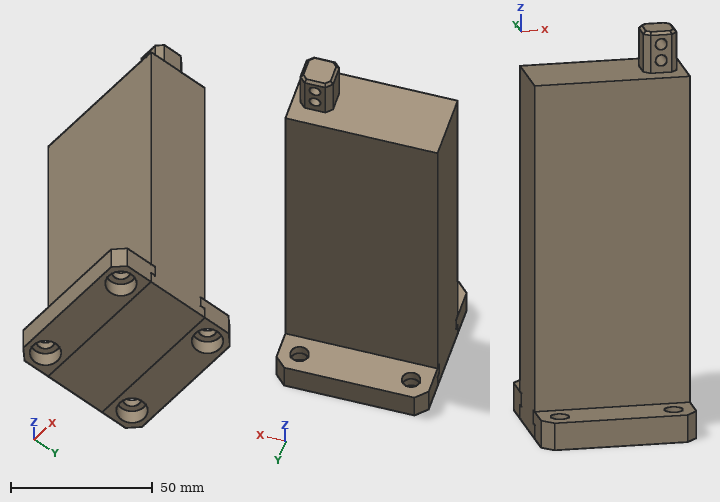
import cadquery as cq

total_height = 145.0
width = 56.0
base_depth = 55.0

housing_depth = 25.0
housing_height = 130.0

flange_height = 10.0
flange_corner_chamfer = 4.0
lip_depth = 2.0
lip_height = 5.0
mount_hole_diameter = 6.5
mount_hole_depth = 3.5
counterbore_diameter = 11.0
mount_hole_spacing_x = 41.0
mount_hole_spacing_y = 40.0

post_side = 12.0
post_center_x = 19.0
post_corner_chamfer = 2.2
post_top_chamfer = 1.0
post_hole_diameter = 4.0
post_hole_spacing = 6.0
lower_post_hole_height = 4.5

post_height = total_height - housing_height
flange_outer_y = base_depth / 2
flange_inner_y = housing_depth / 2
lip_inner_y = flange_inner_y - lip_depth
lip_bottom = flange_height - lip_height
counterbore_depth = flange_height - mount_hole_depth


def make_post():
    """Square post with chamfered edges and two cross holes along Y."""
    post = (
        cq.Workplane("XY")
        .box(post_side, post_side, post_height, centered=(True, True, False))
        .edges("|Z").chamfer(post_corner_chamfer)
        .faces(">Z").edges().chamfer(post_top_chamfer)
    )
    hole_heights = [lower_post_hole_height, lower_post_hole_height + post_hole_spacing]
    holes = (
        cq.Workplane("XZ")
        .pushPoints([(0, height) for height in hole_heights])
        .circle(post_hole_diameter / 2)
        .extrude(post_side / 2, both=True)
    )
    return post.cut(holes).translate((post_center_x, 0, housing_height))


def make_housing():
    """Upright block with a groove along each long side and the post on top."""
    block = cq.Workplane("XY").box(width, housing_depth, housing_height, centered=(True, True, False))
    for side in (-1, 1):
        groove = (
            cq.Workplane("XY")
            .box(width, lip_depth, lip_height, centered=(True, True, False))
            .translate((0, side * (flange_inner_y - lip_depth / 2), lip_bottom))
        )
        block = block.cut(groove)
    return block.union(make_post())


def round_holes(centers, diameter, depth):
    """Cylinders rising from the underside of the flange, to be cut away."""
    return cq.Workplane("XY").pushPoints(centers).circle(diameter / 2).extrude(depth)


def make_flange():
    """Flange on the +Y side, with its lip, chamfered outer corners and two holes counterbored from below."""
    profile = [
        (flange_inner_y, 0),
        (flange_outer_y, 0),
        (flange_outer_y, flange_height),
        (lip_inner_y, flange_height),
        (lip_inner_y, lip_bottom),
        (flange_inner_y, lip_bottom),
    ]
    flange = (
        cq.Workplane("YZ")
        .polyline(profile).close()
        .extrude(width / 2, both=True)
        .faces(">Y").edges("|Z").chamfer(flange_corner_chamfer)
    )
    hole_centers = [(side * mount_hole_spacing_x / 2, mount_hole_spacing_y / 2) for side in (-1, 1)]
    return (
        flange.cut(round_holes(hole_centers, mount_hole_diameter, flange_height))
        .cut(round_holes(hole_centers, counterbore_diameter, counterbore_depth))
    )


housing = make_housing()
flanges = [make_flange().rotate((0, 0, 0), (0, 0, 1), angle) for angle in (0, 180)]

result = cq.Compound.makeCompound([housing.val(), *[flange.val() for flange in flanges]])